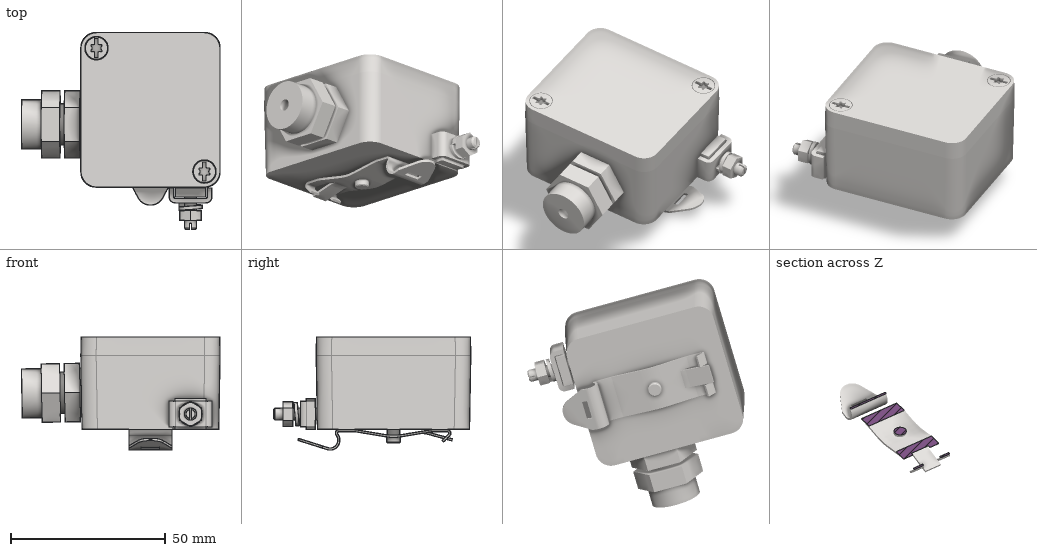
import cadquery as cq
import math

BOX_HEIGHT = 30.0
LID_HEIGHT = 6.0
SEAM_Z = BOX_HEIGHT - LID_HEIGHT
TOP_LENGTH = 45.0
TOP_WIDTH = 50.0
CORNER_RADIUS = 5.0
DRAFT_ANGLE = 1.0
DRAFT_SLOPE = math.tan(math.radians(DRAFT_ANGLE))
LID_FLARE = 2 * LID_HEIGHT * DRAFT_SLOPE
SEAM_LENGTH = TOP_LENGTH + LID_FLARE
SEAM_WIDTH = TOP_WIDTH + LID_FLARE
BASE_TAPER = 2 * SEAM_Z * DRAFT_SLOPE
FUSE_OVERLAP = 2.0

SCREW_X = TOP_LENGTH / 2 - CORNER_RADIUS
SCREW_Y = TOP_WIDTH / 2 - CORNER_RADIUS
SCREW_HOLE_DIAMETER = 7.6
SCREW_HEAD_DIAMETER = 7.2
SCREW_GAP_DEPTH = 1.0
DRIVE_DEPTH = 1.5
DRIVE_SLOT_LENGTH = 6.2
DRIVE_SLOT_WIDTH = 1.15
STAR_LOBES = 6
STAR_TIP_RADIUS = 2.0
STAR_TIP_CROWN = 0.1
STAR_VALLEY_RADIUS = 1.4
STAR_TIP_HALF_ANGLE = 9.0

GLAND_Y = -4.7
GLAND_Z = 12.0
GLAND_HEX_FLATS = 19.0
GLAND_SEAL_DIAMETER = 16.0
GLAND_SEAL_LENGTH = 0.45
GLAND_BODY_HEX_LENGTH = 5.0
GLAND_NECK_DIAMETER = 13.5
GLAND_NECK_LENGTH = 1.45
GLAND_NUT_LENGTH = 6.0
GLAND_CAP_DIAMETER = 16.0
GLAND_LENGTH = 19.33
CABLE_HOLE_DIAMETER = 3.8

TERMINAL_X = 13.0
TERMINAL_Z = 5.0
TERMINAL_START_Y = -25.3
BRACKET_WIDTH = 13.9
BRACKET_HEIGHT = 8.4
BRACKET_DEPTH = 4.9
BRACKET_THICKNESS = 1.5
BRACKET_OUTER_RADIUS = 2.0
BRACKET_INNER_RADIUS = BRACKET_OUTER_RADIUS - BRACKET_THICKNESS
PLATE_SIZE = 10.0
PLATE_THICKNESS = 3.0
STUD_DIAMETER = 3.95
STUD_CHAMFER = 0.5
STUD_END_Y = -38.87
STUD_SLOT_WIDTH = 0.6
STUD_SLOT_DEPTH = 2.1
NUT_FLATS = 7.0
NUT_THICKNESS = 3.2
NUT_START_Y = -32.65
LOCK_WASHER_DIAMETER = 7.6
LOCK_WASHER_THICKNESS = 1.1
LOCK_WASHER_CLEARANCE = 0.03
LOCK_WASHER_SINK = 0.2

CLIP_WIDTH = 14.0
CLIP_THICKNESS = 0.75
CLIP_TOP_Z = -CLIP_THICKNESS / 2
CLIP_LOWEST_Z = -6.74
DIP_Z = -2.2
DIP_EDGE_Z = -1.95
DIP_EDGE_Y = 3.0
FLAT_START_Y = 12.6
HOOK_Y = 17.7
HOOK_RADIUS = 0.8
HOOK_SWEEP_BELOW = 38.0
TONGUE_BEND_RADIUS = 1.8
TONGUE_ANGLE = 17.5
TONGUE_END_Y = -30.9
TONGUE_TIP_RADIUS = 4.6
TONGUE_SIDE_ANGLE = 28.0
TONGUE_SLOT_LENGTH = 6.0
TONGUE_SLOT_START_Y = -22.0
TONGUE_SLOT_WIDTH = 1.7
CURL_Y = 17.4
CURL_RADIUS = 0.85
CURL_SWEEP_BELOW = 45.0
CURL_END_Y = 16.0
FORK_START = (9.5, -0.9)
FORK_BEND = (11.3, -1.25)
FORK_END = (19.0, -3.35)
FORK_WIDTH = 6.0
FORK_GAP = 0.25
RIVET_DIAMETER = 4.1
RIVET_HEAD_DIAMETER = 4.5
RIVET_LENGTH = 4.4
RIVET_CHAMFER = 0.3


def rounded_rectangle(length, width):
    return cq.Sketch().rect(length, width).vertices().fillet(CORNER_RADIUS)


def make_box():
    seam = rounded_rectangle(SEAM_LENGTH, SEAM_WIDTH)
    foot = rounded_rectangle(SEAM_LENGTH - BASE_TAPER, SEAM_WIDTH - BASE_TAPER)
    top = rounded_rectangle(TOP_LENGTH, TOP_WIDTH)
    base = cq.Workplane("XY").placeSketch(foot, seam.moved(cq.Location(cq.Vector(0, 0, SEAM_Z)))).loft()
    lid = (
        cq.Workplane("XY", origin=(0, 0, SEAM_Z))
        .placeSketch(seam, top.moved(cq.Location(cq.Vector(0, 0, LID_HEIGHT))))
        .loft()
    )
    return base.union(lid)


def polar(radius, degrees):
    angle = math.radians(degrees)
    return (radius * math.cos(angle), radius * math.sin(angle))


def star_recess(workplane):
    """Six-lobed outline: rounded tips joined by hollow flanks."""
    pitch = 360 / STAR_LOBES
    half = STAR_TIP_HALF_ANGLE
    shoulder = STAR_TIP_RADIUS - STAR_TIP_CROWN
    outline = workplane.moveTo(*polar(shoulder, pitch / 2 - half))
    for lobe in range(STAR_LOBES):
        tip = pitch * (lobe + 0.5)
        outline = outline.threePointArc(polar(STAR_TIP_RADIUS, tip), polar(shoulder, tip + half))
        valley = polar(STAR_VALLEY_RADIUS, tip + pitch / 2)
        outline = outline.threePointArc(valley, polar(shoulder, tip + pitch - half))
    return outline.close().extrude(-DRIVE_DEPTH)


def screw_recesses(x, y):
    """Gap around a lid screw head, plus its star-and-slot drive."""
    top = cq.Workplane("XY", origin=(x, y, BOX_HEIGHT))
    gap = top.circle(SCREW_HOLE_DIAMETER / 2).circle(SCREW_HEAD_DIAMETER / 2).extrude(-SCREW_GAP_DEPTH)
    slot = top.rect(DRIVE_SLOT_WIDTH, DRIVE_SLOT_LENGTH).extrude(-DRIVE_DEPTH)
    return gap.union(slot).union(star_recess(top))


def hexagon(workplane, flats):
    return workplane.polygon(6, flats / math.cos(math.radians(30)))


def make_gland():
    wall_x = -SEAM_LENGTH / 2 + (SEAM_Z - GLAND_Z) * DRAFT_SLOPE
    tilt = math.radians(DRAFT_ANGLE)
    mount = cq.Plane(
        origin=(wall_x, GLAND_Y, GLAND_Z),
        xDir=(0, -1, 0),
        normal=(-math.cos(tilt), 0, -math.sin(tilt)),
    )

    def station(distance):
        return cq.Workplane(mount).workplane(offset=distance)

    body_hex_start = GLAND_SEAL_LENGTH
    neck_start = body_hex_start + GLAND_BODY_HEX_LENGTH
    nut_start = neck_start + GLAND_NECK_LENGTH
    nut_end = nut_start + GLAND_NUT_LENGTH
    seal = station(-FUSE_OVERLAP).circle(GLAND_SEAL_DIAMETER / 2).extrude(FUSE_OVERLAP + GLAND_SEAL_LENGTH)
    body_hex = hexagon(station(body_hex_start), GLAND_HEX_FLATS).extrude(GLAND_BODY_HEX_LENGTH)
    neck = station(neck_start).circle(GLAND_NECK_DIAMETER / 2).extrude(GLAND_NECK_LENGTH)
    nut = hexagon(station(nut_start), GLAND_HEX_FLATS).extrude(GLAND_NUT_LENGTH)
    cap = station(nut_end).circle(GLAND_CAP_DIAMETER / 2).extrude(GLAND_LENGTH - nut_end)
    cable_hole = station(0).circle(CABLE_HOLE_DIAMETER / 2).extrude(GLAND_LENGTH)
    return seal.union(body_hex).union(neck).union(nut).union(cap).cut(cable_hole)


def terminal_plane(y):
    """Plane facing -Y, centred on the stud axis."""
    return cq.Workplane("XZ", origin=(TERMINAL_X, y, TERMINAL_Z))


def make_bracket():
    inner_width = BRACKET_WIDTH - 2 * BRACKET_THICKNESS
    inner_depth = BRACKET_DEPTH - BRACKET_THICKNESS
    outer = terminal_plane(TERMINAL_START_Y).rect(BRACKET_WIDTH, BRACKET_HEIGHT).extrude(BRACKET_DEPTH)
    outer = outer.faces("<Y").edges("|Z").fillet(BRACKET_OUTER_RADIUS)
    inner = terminal_plane(TERMINAL_START_Y).rect(inner_width, BRACKET_HEIGHT).extrude(inner_depth)
    inner = inner.faces("<Y").edges("|Z").fillet(BRACKET_INNER_RADIUS)
    return outer.cut(inner)


def make_stud():
    start_y = -TOP_WIDTH / 2 + FUSE_OVERLAP
    stud = terminal_plane(start_y).circle(STUD_DIAMETER / 2).extrude(start_y - STUD_END_Y)
    stud = stud.faces("<Y").chamfer(STUD_CHAMFER)
    slot = terminal_plane(STUD_END_Y).rect(STUD_SLOT_WIDTH, STUD_DIAMETER).extrude(-STUD_SLOT_DEPTH)
    return stud.cut(slot)


def make_lock_washer():
    """One turn of a rectangular-section coil, split on the -X side."""
    bracket_face_y = TERMINAL_START_Y - BRACKET_DEPTH
    rise = bracket_face_y - NUT_START_Y - LOCK_WASHER_THICKNESS - 2 * LOCK_WASHER_CLEARANCE
    inner_radius = STUD_DIAMETER / 2 - LOCK_WASHER_SINK
    outer_radius = LOCK_WASHER_DIAMETER / 2
    mean_radius = (inner_radius + outer_radius) / 2
    path = cq.Wire.makeHelix(rise, rise, mean_radius)
    coil = (
        cq.Workplane("XZ", origin=(mean_radius, 0, 0))
        .rect(outer_radius - inner_radius, LOCK_WASHER_THICKNESS)
        .sweep(cq.Workplane(path), isFrenet=True)
    )
    centre_y = NUT_START_Y + LOCK_WASHER_CLEARANCE + LOCK_WASHER_THICKNESS / 2
    return (
        coil.rotate((0, 0, 0), (0, 0, 1), 180)
        .rotate((0, 0, 0), (1, 0, 0), -90)
        .translate((TERMINAL_X, centre_y, TERMINAL_Z))
    )


def make_terminal():
    plate = terminal_plane(TERMINAL_START_Y).rect(PLATE_SIZE, PLATE_SIZE).extrude(PLATE_THICKNESS)
    nut = hexagon(terminal_plane(NUT_START_Y).transformed(rotate=(0, 0, 30)), NUT_FLATS)
    nut = nut.extrude(NUT_THICKNESS)
    return make_bracket().union(plate).union(nut).union(make_lock_washer()).union(make_stud())


def bent_strip(path, start, start_angle, width):
    """Strip of clip thickness following a (Y, Z) centreline."""
    heading = polar(1, start_angle)
    section = cq.Plane(origin=(0, *start), xDir=(1, 0, 0), normal=(0, *heading))
    return cq.Workplane(section).rect(width, CLIP_THICKNESS).sweep(path, transition="right")


def clip_spring():
    """Curl at +Y, dip at the rivet, hook at -Y and a rising tongue."""
    curl_centre_z = CLIP_TOP_Z - CURL_RADIUS
    curl_dy, curl_dz = polar(CURL_RADIUS, -CURL_SWEEP_BELOW)
    curl_foot = (CURL_Y + curl_dy, curl_centre_z + curl_dz)
    curl_run = curl_foot[0] - CURL_END_Y
    start = (CURL_END_Y, curl_foot[1] - curl_run)

    hook_sine = math.sin(math.radians(HOOK_SWEEP_BELOW))
    hook_centre_z = CLIP_TOP_Z - HOOK_RADIUS
    lowest_centreline = CLIP_LOWEST_Z + CLIP_THICKNESS / 2
    sag = hook_centre_z - lowest_centreline
    bend_radius = (sag - HOOK_RADIUS * hook_sine) / (1 + hook_sine)
    hook_dy, hook_dz = polar(HOOK_RADIUS, 180 + HOOK_SWEEP_BELOW)
    hook_foot = (-HOOK_Y + hook_dy, hook_centre_z + hook_dz)
    bend_dy, bend_dz = polar(bend_radius, 180 + HOOK_SWEEP_BELOW)
    bend_centre = (hook_foot[0] + bend_dy, hook_foot[1] + bend_dz)

    lowest = (bend_centre[0], lowest_centreline)
    mid_dy, mid_dz = polar(bend_radius, (HOOK_SWEEP_BELOW - 90) / 2)
    bend_middle = (bend_centre[0] + mid_dy, bend_centre[1] + mid_dz)

    def on_tongue_bend(turn):
        dy, dz = polar(TONGUE_BEND_RADIUS, -90 - turn)
        return (lowest[0] + dy, lowest[1] + TONGUE_BEND_RADIUS + dz)

    tongue_start = on_tongue_bend(TONGUE_ANGLE)
    tongue_rise = (tongue_start[0] - TONGUE_END_Y) * math.tan(math.radians(TONGUE_ANGLE))
    path = (
        cq.Workplane("YZ")
        .moveTo(*start)
        .lineTo(*curl_foot)
        .threePointArc((CURL_Y + CURL_RADIUS, curl_centre_z), (CURL_Y, CLIP_TOP_Z))
        .lineTo(FLAT_START_Y, CLIP_TOP_Z)
        .lineTo(DIP_EDGE_Y, DIP_EDGE_Z)
        .threePointArc((0, DIP_Z), (-DIP_EDGE_Y, DIP_EDGE_Z))
        .lineTo(-FLAT_START_Y, CLIP_TOP_Z)
        .lineTo(-HOOK_Y, CLIP_TOP_Z)
        .threePointArc((-HOOK_Y - HOOK_RADIUS, hook_centre_z), hook_foot)
        .threePointArc(bend_middle, lowest)
        .threePointArc(on_tongue_bend(TONGUE_ANGLE / 2), tongue_start)
        .lineTo(TONGUE_END_Y, tongue_start[1] + tongue_rise)
    )
    return bent_strip(path, start, CURL_SWEEP_BELOW, CLIP_WIDTH)


def clip_plan():
    """Plan outline of the clip: parallel sides tapering to a round tip."""
    side_dx, side_dy = polar(TONGUE_TIP_RADIUS, -TONGUE_SIDE_ANGLE)
    tip_centre_y = TONGUE_END_Y + TONGUE_TIP_RADIUS
    side_y = tip_centre_y + side_dy
    half_width = CLIP_WIDTH / 2
    taper_y = side_y + (half_width - side_dx) / math.tan(math.radians(TONGUE_SIDE_ANGLE))
    back_y = TOP_WIDTH / 2
    return (
        cq.Workplane("XY")
        .moveTo(half_width, back_y)
        .lineTo(half_width, taper_y)
        .lineTo(side_dx, side_y)
        .threePointArc((0, TONGUE_END_Y), (-side_dx, side_y))
        .lineTo(-half_width, taper_y)
        .lineTo(-half_width, back_y)
        .close()
        .extrude(2 * CLIP_LOWEST_Z)
    )


def make_clip():
    spring = clip_spring().intersect(clip_plan())
    tongue_slot = (
        cq.Workplane("XY", origin=(0, TONGUE_SLOT_START_Y - TONGUE_SLOT_WIDTH / 2, 0))
        .rect(TONGUE_SLOT_LENGTH, TONGUE_SLOT_WIDTH)
        .extrude(2 * CLIP_LOWEST_Z)
    )
    fork_opening_length = TOP_WIDTH / 2 - FORK_BEND[0]
    fork_opening = (
        cq.Workplane("XY", origin=(0, FORK_BEND[0] + fork_opening_length / 2, 0))
        .rect(FORK_WIDTH + 2 * FORK_GAP, fork_opening_length)
        .extrude(2 * CLIP_LOWEST_Z)
    )
    fork_path = cq.Workplane("YZ").polyline([FORK_START, FORK_BEND, FORK_END])
    fork_angle = math.degrees(math.atan2(FORK_BEND[1] - FORK_START[1], FORK_BEND[0] - FORK_START[0]))
    fork = bent_strip(fork_path, FORK_START, fork_angle, FORK_WIDTH)
    rivet = cq.Workplane("XY", origin=(0, 0, FUSE_OVERLAP)).circle(RIVET_DIAMETER / 2)
    rivet = rivet.extrude(-FUSE_OVERLAP + DIP_Z)
    head = cq.Workplane("XY", origin=(0, 0, DIP_Z)).circle(RIVET_HEAD_DIAMETER / 2)
    head = head.extrude(-RIVET_LENGTH - DIP_Z).faces("<Z").chamfer(RIVET_CHAMFER)
    return spring.cut(tongue_slot).cut(fork_opening).union(fork).union(rivet).union(head)


result = make_box()
for side in (-1, 1):
    result = result.cut(screw_recesses(side * SCREW_X, -side * SCREW_Y))
result = result.union(make_gland()).union(make_terminal()).union(make_clip())